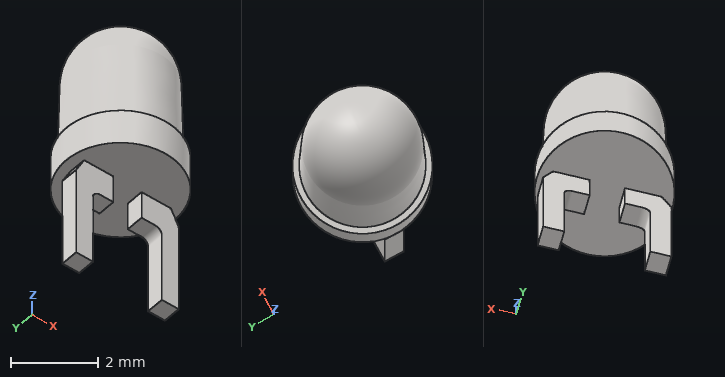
import cadquery as cq
import math

total_height = 7.59
flange_bottom = 3.0
flange_height = 1.0
body_height = 2.24

flange_radius = 1.6
body_base_radius = 1.45
body_top_radius = 1.4

lead_thickness = 0.5
lead_outer_x = 1.52
lead_inner_x = lead_outer_x - lead_thickness
shoulder_inner_x = 0.42
shoulder_outer_x = 1.28
shoulder_height = 0.8
bevel_height = 0.43
bend_radius = 0.2

flange_top = flange_bottom + flange_height
dome_base = flange_top + body_height
dome_height = total_height - dome_base


def make_lens():
    """Flange, tapered body and spherical dome as one revolved profile."""
    dome_radius = (body_top_radius**2 + dome_height**2) / (2 * dome_height)
    dome_center = total_height - dome_radius
    dome_mid = (
        dome_radius * math.sin(math.pi / 4),
        dome_center + dome_radius * math.cos(math.pi / 4),
    )
    return (
        cq.Workplane("XZ")
        .moveTo(0, flange_bottom)
        .lineTo(flange_radius, flange_bottom)
        .lineTo(flange_radius, flange_top)
        .lineTo(body_base_radius, flange_top)
        .lineTo(body_top_radius, dome_base)
        .threePointArc(dome_mid, (0, total_height))
        .close()
        .revolve(360, (0, 0, 0), (0, 1, 0))
    )


def make_lead():
    """The +X lead, with a bevelled shoulder and a rounded inner bend."""
    shoulder_bottom = flange_bottom - shoulder_height
    return (
        cq.Workplane("XZ")
        .moveTo(shoulder_inner_x, flange_bottom)
        .lineTo(shoulder_outer_x, flange_bottom)
        .lineTo(lead_outer_x, flange_bottom - bevel_height)
        .lineTo(lead_outer_x, 0)
        .lineTo(lead_inner_x, 0)
        .lineTo(lead_inner_x, shoulder_bottom - bend_radius)
        .radiusArc((lead_inner_x - bend_radius, shoulder_bottom), -bend_radius)
        .lineTo(shoulder_inner_x, shoulder_bottom)
        .close()
        .extrude(lead_thickness / 2, both=True)
    )


lead = make_lead()
result = make_lens().union(lead).union(lead.mirror("YZ"))